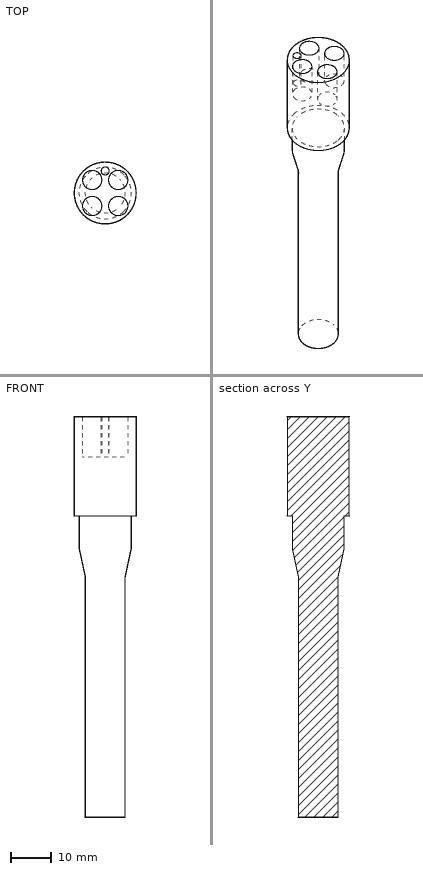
import cadquery as cq

total_length = 100.0
body_diameter = 15.5
body_length = 24.8
collar_diameter = 13.0
collar_length = 8.2
cable_diameter = 10.0
cable_length = 60.0
taper_length = total_length - body_length - collar_length - cable_length

socket_diameter = 4.8
socket_spacing = 6.5
socket_depth = 10.0
key_diameter = 2.0
key_offset = 5.5
key_depth = 10.0


def cylinder(diameter, bottom, length):
    return cq.Workplane("XY").workplane(offset=bottom).circle(diameter / 2).extrude(length)


def taper(bottom_diameter, top_diameter, bottom, length):
    return (
        cq.Workplane("XY")
        .workplane(offset=bottom)
        .circle(bottom_diameter / 2)
        .workplane(offset=length)
        .circle(top_diameter / 2)
        .loft()
    )


taper_bottom = cable_length
collar_bottom = taper_bottom + taper_length
body_bottom = collar_bottom + collar_length
result = (
    cylinder(cable_diameter, 0, cable_length)
    .union(taper(cable_diameter, collar_diameter, taper_bottom, taper_length))
    .union(cylinder(collar_diameter, collar_bottom, collar_length))
    .union(cylinder(body_diameter, body_bottom, body_length))
)

sockets = (
    cq.Workplane("XY")
    .workplane(offset=total_length - socket_depth)
    .rarray(socket_spacing, socket_spacing, 2, 2)
    .circle(socket_diameter / 2)
    .extrude(socket_depth)
)
result = result.cut(sockets)

key_hole = cylinder(key_diameter, total_length - key_depth, key_depth).translate((0, key_offset, 0))
result = result.cut(key_hole)